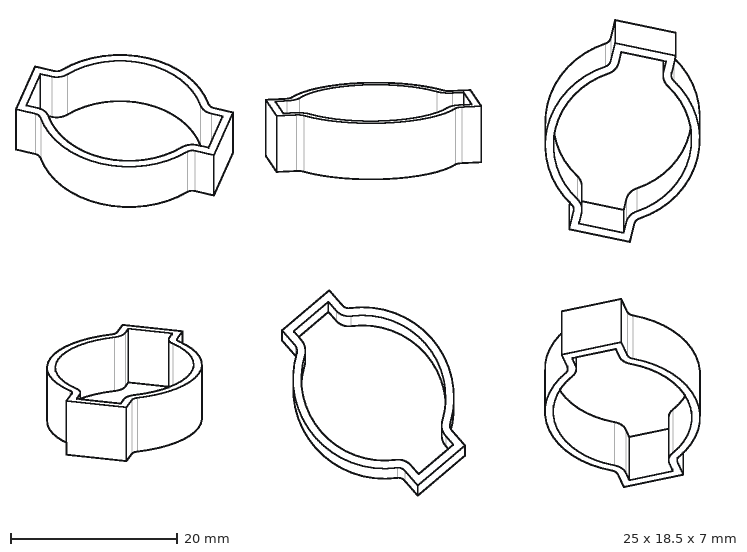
import cadquery as cq
import math

length = 25.0
width = 18.5
height = 7.0
wall = 1.0

end_width = 7.5
bow_radius = 11.0
neck_radius = 1.0

bow_center_y = width / 2 - bow_radius

neck_center_y = end_width / 2 + neck_radius
neck_rise = neck_center_y - bow_center_y
neck_center_x = math.sqrt((bow_radius + neck_radius) ** 2 - neck_rise**2)
neck_angle = math.atan2(neck_rise, neck_center_x)


def band_prism(inset):
    """Solid prism whose outline lies a constant distance inside the outer outline."""
    end_x = length / 2 - inset
    side_y = end_width / 2 - inset
    bow_r = bow_radius - inset
    neck_r = neck_radius + inset

    bow_top = (0, bow_center_y + bow_r)
    bow_end_x = bow_r * math.cos(neck_angle)
    bow_end_y = bow_center_y + bow_r * math.sin(neck_angle)

    middle_angle = (neck_angle + math.pi / 2) / 2
    neck_middle_x = neck_center_x - neck_r * math.cos(middle_angle)
    neck_middle_y = neck_center_y - neck_r * math.sin(middle_angle)

    return (
        cq.Workplane("XY")
        .workplane(offset=-height / 2)
        .moveTo(end_x, 0)
        .lineTo(end_x, side_y)
        .lineTo(neck_center_x, side_y)
        .threePointArc((neck_middle_x, neck_middle_y), (bow_end_x, bow_end_y))
        .threePointArc(bow_top, (-bow_end_x, bow_end_y))
        .threePointArc((-neck_middle_x, neck_middle_y), (-neck_center_x, side_y))
        .lineTo(-end_x, side_y)
        .lineTo(-end_x, 0)
        .mirrorX()
        .extrude(height)
    )


result = band_prism(0).cut(band_prism(wall))